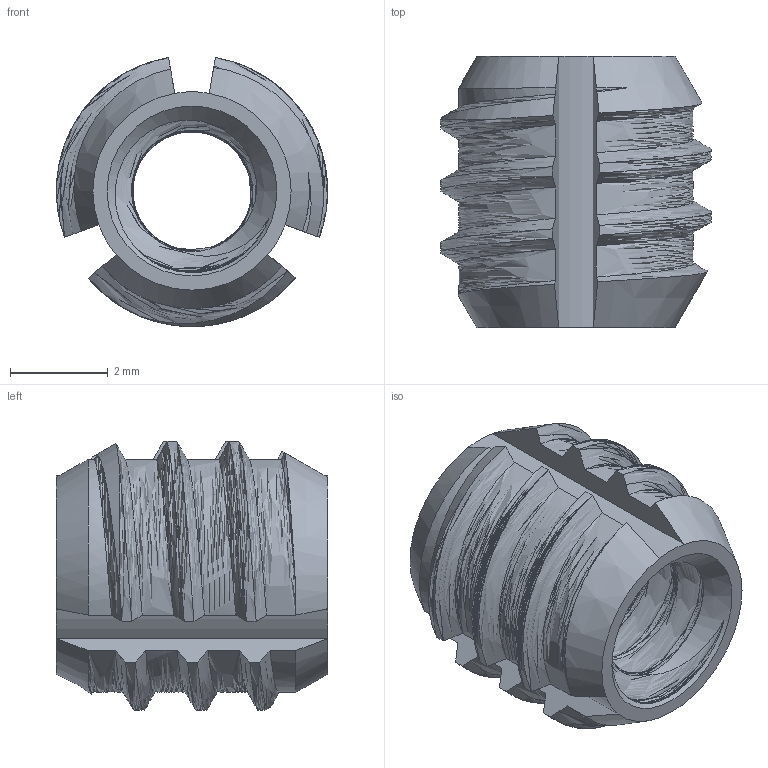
import cadquery as cq
import math


LENGTH = 5.54
END_RADIUS = 2.025
TAPER_ANGLE = 30.0

OUTER_PITCH = 1.27
OUTER_CREST_RADIUS = 2.77
CORE_RADIUS = 2.4
OUTER_CREST_WIDTH = 0.20
OUTER_CREST_HEIGHT_AT_X = 0.765

INNER_PITCH = 25.4 / 32
BORE_RADIUS = 1.238
INNER_CREST_WIDTH = INNER_PITCH / 8
INNER_ROOT_WIDTH = INNER_PITCH / 4
INNER_ROOT_HEIGHT_AT_X = -2.846

COUNTERSINK_RADIUS = 1.734
COUNTERSINK_ANGLE = 45.0

SLOT_COUNT = 3
SLOT_ANGLE = 20.0
FIRST_SLOT_DIRECTION = -90.0

FLANK_SLOPE = math.tan(math.radians(30))
OVERRUN = 0.5
HALF_LENGTH = LENGTH / 2

INNER_FLANK_WIDTH = (INNER_PITCH - INNER_CREST_WIDTH - INNER_ROOT_WIDTH) / 2
INNER_ROOT_RADIUS = BORE_RADIUS + INNER_FLANK_WIDTH / FLANK_SLOPE


def threaded_rod(pitch, outer_radius, core_radius, outer_width, height_at_x):
    """Right-handed threaded rod, longer than the insert at both ends.

    Its cross-section is the same at every height and only turns with the helix:
    an arc on the outer radius, an arc on the core radius, and two Archimedean
    spirals between them that become the straight flanks.
    """
    bottom = -HALF_LENGTH - OVERRUN
    height = LENGTH + 2 * OVERRUN
    half_outer = math.pi * outer_width / pitch
    half_base = half_outer + 2 * math.pi * (outer_radius - core_radius) * FLANK_SLOPE / pitch
    middle = 2 * math.pi * (bottom - height_at_x) / pitch

    def point(radius, angle):
        return (radius * math.cos(middle + angle), radius * math.sin(middle + angle))

    def rising_flank(t):
        return point(core_radius + t * (outer_radius - core_radius), -half_base + t * (half_base - half_outer))

    def falling_flank(t):
        return point(outer_radius - t * (outer_radius - core_radius), half_outer + t * (half_base - half_outer))

    section = (
        cq.Workplane("XY", origin=(0, 0, bottom))
        .moveTo(*point(core_radius, -half_base))
        .parametricCurve(rising_flank, N=20, makeWire=False)
        .moveTo(*point(outer_radius, -half_outer))
        .threePointArc(point(outer_radius, 0), point(outer_radius, half_outer))
        .parametricCurve(falling_flank, N=20, makeWire=False)
        .moveTo(*point(core_radius, half_base))
        .threePointArc(point(core_radius, math.pi), point(core_radius, -half_base))
        .wire()
    )
    return section.twistExtrude(height, 360 * height / pitch)


def tapered_envelope():
    """Two cones that narrow from the middle of the insert to the end radius at both ends."""
    middle_radius = END_RADIUS + HALF_LENGTH * math.tan(math.radians(TAPER_ANGLE))
    profile = [
        (0, -HALF_LENGTH),
        (END_RADIUS, -HALF_LENGTH),
        (middle_radius, 0),
        (END_RADIUS, HALF_LENGTH),
        (0, HALF_LENGTH),
    ]
    return cq.Workplane("XZ").polyline(profile).close().revolve(360, (0, 0), (0, 1))


def countersink(end):
    """Full cone whose base lies on the given end face and whose point is on the axis."""
    depth = COUNTERSINK_RADIUS / math.tan(math.radians(COUNTERSINK_ANGLE))
    tip = end - math.copysign(depth, end)
    profile = [(0, end), (COUNTERSINK_RADIUS, end), (0, tip)]
    return cq.Workplane("XZ").polyline(profile).close().revolve(360, (0, 0), (0, 1))


def slot(direction):
    """Sector with radial walls, from the end radius outward, along the whole length."""
    outside = OUTER_CREST_RADIUS + OVERRUN
    half_angle = math.radians(SLOT_ANGLE / 2)
    cosine = math.cos(half_angle)
    sine = math.sin(half_angle)
    return (
        cq.Workplane("XY", origin=(0, 0, -HALF_LENGTH))
        .moveTo(END_RADIUS * cosine, -END_RADIUS * sine)
        .lineTo(outside * cosine, -outside * sine)
        .lineTo(outside * cosine, outside * sine)
        .lineTo(END_RADIUS * cosine, END_RADIUS * sine)
        .threePointArc((END_RADIUS, 0), (END_RADIUS * cosine, -END_RADIUS * sine))
        .close()
        .extrude(LENGTH)
        .rotate((0, 0, 0), (0, 0, 1), direction)
    )


outer_rod = threaded_rod(
    OUTER_PITCH, OUTER_CREST_RADIUS, CORE_RADIUS, OUTER_CREST_WIDTH, OUTER_CREST_HEIGHT_AT_X
)
inner_rod = threaded_rod(
    INNER_PITCH, INNER_ROOT_RADIUS, BORE_RADIUS, INNER_ROOT_WIDTH, INNER_ROOT_HEIGHT_AT_X
)

body = outer_rod.intersect(tapered_envelope())
for end in (-HALF_LENGTH, HALF_LENGTH):
    body = body.cut(countersink(end))
body = body.cut(inner_rod)
for index in range(SLOT_COUNT):
    body = body.cut(slot(FIRST_SLOT_DIRECTION + index * 360 / SLOT_COUNT))

result = body.rotate((0, 0, 0), (1, 0, 0), -90)